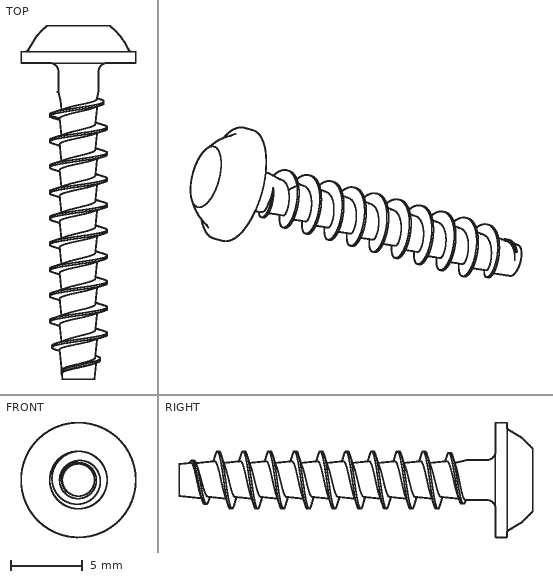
import cadquery as cq
import math


FLANGE_RADIUS = 4.0
FLANGE_THICKNESS = 0.8
FLANGE_EDGE_FILLET = 0.05
HEAD_HEIGHT = 2.6
DOME_BASE_RADIUS = 3.55
DOME_TOP_RADIUS = 2.18
DOME_SPHERE_RADIUS = 4.5
DOME_BASE_FILLET = 0.15

SHANK_RADIUS = 1.4
SHANK_LENGTH = 22.0
NECK_FILLET = 0.6
THREAD_START = 2.0
RUN_IN_LENGTH = 1.0

PITCH = 1.79
CREST_RADIUS = 2.0
CREST_WIDTH = 0.14
TOOTH_ANGLE = 30.0
TOOTH_DEPTH = 1.05
FIRST_CREST = 1.83
START_CREST_RADIUS = 1.55
END_CREST_RADIUS = 1.2
LEAD_IN_TURNS = 1.0
FULL_TURNS = 8.75
LEAD_OUT_TURNS = 1.25

CORE_RADIUS = 1.17
ROOT_SLOPE = math.tan(math.radians(6.0))
RAMP_EARLY_TURNS = 0.3
RAMP_LATE_TURNS = 0.7
RAMP_GAP = 0.15
ROOT_OVERLAP = 0.3
TIP_RADIUS = 1.12

RAMP_LENGTH = PITCH - RAMP_GAP
ROOT_RADIUS = CORE_RADIUS + ROOT_SLOPE * RAMP_LENGTH
TIP_TAPER_LENGTH = (CORE_RADIUS - TIP_RADIUS) / ROOT_SLOPE
TOTAL_TURNS = LEAD_IN_TURNS + FULL_TURNS + LEAD_OUT_TURNS


def make_head():
    """Flange with a flat-topped spherical dome, revolved about Y."""
    chord_r = DOME_TOP_RADIUS - DOME_BASE_RADIUS
    chord_y = HEAD_HEIGHT - FLANGE_THICKNESS
    chord = math.hypot(chord_r, chord_y)
    bulge = DOME_SPHERE_RADIUS - math.sqrt(DOME_SPHERE_RADIUS**2 - (chord / 2) ** 2)
    dome_middle = (
        (DOME_BASE_RADIUS + DOME_TOP_RADIUS) / 2 + bulge * chord_y / chord,
        (FLANGE_THICKNESS + HEAD_HEIGHT) / 2 - bulge * chord_r / chord,
    )
    flange = (
        cq.Workplane("XZ")
        .circle(FLANGE_RADIUS)
        .extrude(-FLANGE_THICKNESS)
        .edges()
        .fillet(FLANGE_EDGE_FILLET)
    )
    dome = (
        cq.Workplane("XY")
        .lineTo(DOME_BASE_RADIUS, 0)
        .lineTo(DOME_BASE_RADIUS, FLANGE_THICKNESS)
        .threePointArc(dome_middle, (DOME_TOP_RADIUS, HEAD_HEIGHT))
        .lineTo(0, HEAD_HEIGHT)
        .close()
        .revolve(360, (0, 0), (0, 1))
    )
    head = flange.union(dome)
    dome_base = head.edges("%CIRCLE").filter(
        lambda edge: math.isclose(edge.radius(), DOME_BASE_RADIUS)
    )
    return dome_base.fillet(DOME_BASE_FILLET)


def make_shank():
    """Plain neck, run-in taper, thread core and tapered tip, revolved about Y."""
    arc_offset = NECK_FILLET * (1 - math.sqrt(0.5))
    return (
        cq.Workplane("XY")
        .lineTo(SHANK_RADIUS + NECK_FILLET, 0)
        .threePointArc(
            (SHANK_RADIUS + arc_offset, -arc_offset),
            (SHANK_RADIUS, -NECK_FILLET),
        )
        .lineTo(SHANK_RADIUS, -THREAD_START)
        .lineTo(CORE_RADIUS, -THREAD_START - RUN_IN_LENGTH)
        .lineTo(CORE_RADIUS, TIP_TAPER_LENGTH - SHANK_LENGTH)
        .lineTo(TIP_RADIUS, -SHANK_LENGTH)
        .lineTo(0, -SHANK_LENGTH)
        .close()
        .revolve(360, (0, 0), (0, 1))
    )


def sweep_helix(profile, start_radius, end_radius, start_turn, turns):
    """Sweep (radius, axial) profile points, given relative to the helix start.

    The right-handed helix advances along local +Z, and turn 0 lies on local +X.
    """
    height = turns * PITCH
    if start_radius == end_radius:
        path = cq.Wire.makeHelix(PITCH, height, start_radius)
    else:
        taper = math.atan2(end_radius - start_radius, height)
        stretch = 1 / math.cos(taper)
        path = cq.Wire.makeHelix(
            PITCH * stretch, height * stretch, start_radius, angle=math.degrees(taper)
        )
    swept = (
        cq.Workplane("XZ")
        .polyline([(start_radius + r, z) for r, z in profile])
        .close()
        .sweep(cq.Workplane(path), isFrenet=True)
    )
    return swept.rotate((0, 0, 0), (0, 0, 1), 360 * start_turn).translate(
        (0, 0, FIRST_CREST + start_turn * PITCH)
    )


def to_screw_axis(shape):
    """Turn local +Z to -Y and local +X to -X."""
    screw_plane = cq.Plane(origin=(0, 0, 0), xDir=(-1, 0, 0), normal=(0, -1, 0))
    return cq.Workplane(shape.val().moved(cq.Location(screw_plane)))


def make_teeth():
    """Lead-in, full-height and lead-out sections of the tooth."""
    half_crest = CREST_WIDTH / 2
    half_base = half_crest + TOOTH_DEPTH * math.tan(math.radians(TOOTH_ANGLE / 2))
    profile = [
        (0, -half_crest),
        (0, half_crest),
        (-TOOTH_DEPTH, half_base),
        (-TOOTH_DEPTH, -half_base),
    ]
    sections = [
        (START_CREST_RADIUS, CREST_RADIUS, LEAD_IN_TURNS),
        (CREST_RADIUS, CREST_RADIUS, FULL_TURNS),
        (CREST_RADIUS, END_CREST_RADIUS, LEAD_OUT_TURNS),
    ]
    teeth = []
    start_turn = 0
    for start_radius, end_radius, turns in sections:
        section = sweep_helix(profile, start_radius, end_radius, start_turn, turns)
        teeth.append(to_screw_axis(section))
        start_turn += turns
    return teeth


def make_root():
    """Helical ramp that falls from beneath one tooth to the core before the next."""
    rise = ROOT_RADIUS - CORE_RADIUS
    profile = [
        (0, 0),
        (-rise, RAMP_LENGTH),
        (-rise - ROOT_OVERLAP, RAMP_LENGTH),
        (-rise - ROOT_OVERLAP, 0),
    ]
    turns = TOTAL_TURNS + RAMP_EARLY_TURNS + RAMP_LATE_TURNS
    ramp = sweep_helix(profile, ROOT_RADIUS, ROOT_RADIUS, -RAMP_EARLY_TURNS, turns)
    return to_screw_axis(ramp).intersect(make_root_limit())


def make_root_limit():
    """Solid of the threaded length that narrows with the root slope to the tip."""
    top_radius = TIP_RADIUS + ROOT_SLOPE * (SHANK_LENGTH - THREAD_START)
    return (
        cq.Workplane("XY")
        .moveTo(0, -THREAD_START)
        .lineTo(top_radius, -THREAD_START)
        .lineTo(TIP_RADIUS, -SHANK_LENGTH)
        .lineTo(0, -SHANK_LENGTH)
        .close()
        .revolve(360, (0, 0), (0, 1))
    )


def clip_to_threaded_length(tooth_section):
    """Keep only what lies between the end of the plain shank and the tip."""
    threaded_length = (
        cq.Workplane("XZ", origin=(0, -THREAD_START, 0))
        .circle(SHANK_RADIUS + CREST_RADIUS)
        .extrude(SHANK_LENGTH - THREAD_START)
    )
    return tooth_section.intersect(threaded_length)


lead_in, full_thread, lead_out = make_teeth()
result = (
    make_head()
    .union(make_shank())
    .union(make_root())
    .union(clip_to_threaded_length(lead_in))
    .union(full_thread)
    .union(lead_out)
)